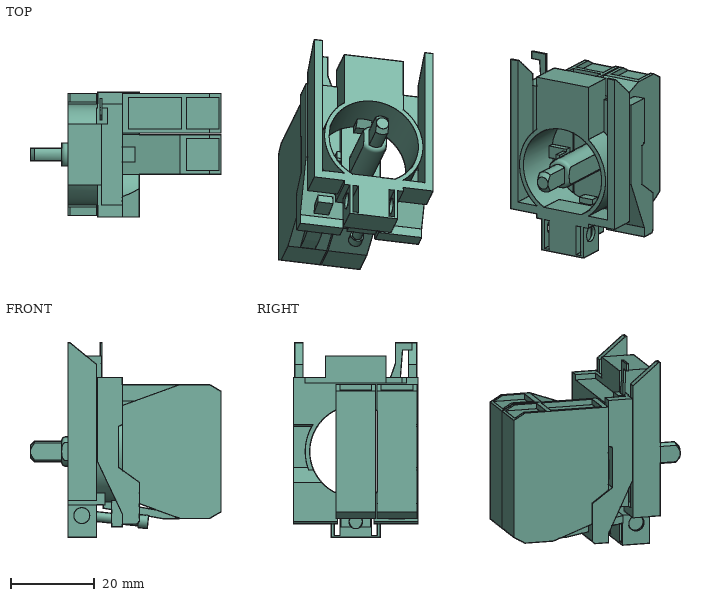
import cadquery as cq
import math


BORE_RADIUS = 10.97
RING_RADIUS = 12.08
PLATE_BACK = 13.0
BLOCK_HALF_WIDTH = 7.25
BLOCK_TOP = 22.85
BLOCK_DEPTH = 8.0

FRAME_DEPTH = 6.85
FRAME_HALF_WIDTH = 14.6
FRAME_WALL = 2.03
FRAME_TOP = 26.0
FRAME_FLOOR = -9.65
FRAME_BOTTOM = -11.7
FRAME_TIP_DEPTH = 0.5
FRAME_SHOULDER = 20.77
TAB_BOTTOM = -12.75
TOOTH_TOP = -9.85
TOOTH_BACK = 8.85

CLAMP_HALF_WIDTH = 5.88
CLAMP_WALL = 0.8
CLAMP_CORE_HALF_WIDTH = 3.8
CLAMP_BOTTOM = -20.5
CLAMP_FLOOR = 0.5
CLAMP_HOLE_RADIUS = 1.9
CLAMP_HOLE_X = 3.3
CLAMP_HOLE_Z = -15.3

PLATE_FRONT = 7.05
PLATE_HALF_WIDTH = 14.925
PLATE_TOP = 17.7
PLATE_TAPER_TOP = -2.4
PLATE_TAPER_BOTTOM = -14.95
PLATE_BOTTOM = -17.3
NOTCH_X = 12.05
NOTCH_TOP = 6.0
NOTCH_LEAD_TOP = 6.45
NOTCH_BOTTOM = -3.77
LOBE_BACK = 17.05
LOBE_TOP = -7.36
LOBE_CHAMFER = 0.6
LEDGE_DEPTH = 1.3
LEDGE_HALF_WIDTH = RING_RADIUS
RELIEF_HALF_WIDTH = 4.35

LATCH_FRONT = 6.85
LATCH_BACK = 9.4
LATCH_OUTER_Y = 11.1
HOOK_X = 7.65
HOOK_THICKNESS = 0.5
HOOK_OUTER_Y = 13.4
HOOK_INNER_Y = 9.45
HOOK_BAR_BOTTOM = 24.2
HOOK_BEND_Z = 21.0
HOOK_STEM_TOP_Y = 11.2
HOOK_FOOT_OUTER_Y = 10.65
HOOK_FOOT_INNER_Y = 8.1
HOOK_FOOT_Z = 17.2

MODULE_WIDTH = 9.52
MODULE_GAP = 0.34
MODULE_BACK = 36.59
MODULE_HALF_HEIGHT = 16.0
MODULE_TAPER_X = 26.75
MODULE_NOSE_Z = 11.0
MODULE_CHAMFER_X = 2.75
MODULE_CHAMFER_Z = 1.6
POCKET_DEPTH = 1.3
POCKET_MARGIN = 0.95
REAR_POCKET_FRONT = 28.3
FRONT_POCKET_START = 14.4
FRONT_POCKET_END = 27.1

SPINDLE_TIP = -9.0
SPINDLE_STEP = -1.55
SHAFT_RADIUS = 2.5
SHAFT_HALF_FLAT = 1.5
SHAFT_CHAMFER = 1.0
HUB_RADIUS = 3.55
HUB_HALF_FLAT = 2.8
HUB_FILLET = HUB_RADIUS - SHAFT_RADIUS

KEY_HALF_WIDTH = 1.83
KEY_FRONT = 9.0
KEY_RAMP_BACK = 10.5
KEY_BACK = 16.6
KEY_OUTER_Z = 12.1
KEY_RAMP_Z = 11.0
KEY_INNER_Z = 9.2
LOWER_KEY_FRONT = 10.6
LOWER_KEY_TOP = -9.55
SIDE_KEY_FRONT = 11.5
SIDE_KEY_INNER_Y = 5.98
SIDE_KEY_HALF_HEIGHT = 1.5
NIB_FRONT = 8.4
NIB_WIDTH = 1.0
NIB_HALF_HEIGHT = 0.9
NIB_RAMP_LENGTH = 0.3

LEVER_TILT = 10.0
LEVER_START_X = 8.4
LEVER_BOTTOM_Z = -13.55
LEVER_LENGTH = 14.3
LEVER_THICKNESS = 1.85
LEVER_INNER_Y = 8.0
LEVER_OUTER_Y = 11.64
LEVER_HEEL_END = 26.5
SCREW_TILT = 6.0
SCREW_START_X = 5.6
SCREW_START_Z = -15.42
SCREW_RADIUS = 1.2
SCREW_SHANK_LENGTH = 11.3
SCREW_HEAD_RADIUS = 1.6
SCREW_HEAD_LENGTH = 2.3
POST_FRONT = 10.45
POST_TOP = -11.7
POST_BOTTOM = -18.0
POST_HALF_WIDTH = 3.5


def box(x0, x1, y0, y1, z0, z1):
    """Box between two opposite corners."""
    return cq.Workplane("XY").box(x1 - x0, y1 - y0, z1 - z0, centered=False).translate((x0, y0, z0))


def side_profile(points, y0, y1):
    """Extrude an XZ outline from y0 to y1."""
    return cq.Workplane("XZ", origin=(0, y1, 0)).polyline(points).close().extrude(y1 - y0)


def rod(radius, x0, x1):
    """Cylinder on the X axis."""
    return cq.Workplane("YZ", origin=(x0, 0, 0)).circle(radius).extrude(x1 - x0)


def with_flats(body, half_flat):
    """Trim a body of the spindle to two flats facing +Y and -Y."""
    return body.intersect(box(SPINDLE_TIP, PLATE_BACK, -half_flat, half_flat, -HUB_RADIUS, HUB_RADIUS))


def make_collar():
    """Ring with its block on top, trimmed below the front frame."""
    ring = rod(RING_RADIUS, 0, PLATE_BACK)
    below_frame = box(0, FRAME_DEPTH, -RING_RADIUS, RING_RADIUS, -RING_RADIUS, FRAME_BOTTOM)
    block = box(0, BLOCK_DEPTH, -BLOCK_HALF_WIDTH, BLOCK_HALF_WIDTH, 0, BLOCK_TOP)
    return ring.cut(below_frame).union(block)


def make_frame():
    """Front frame with a tab and a rear tooth under its floor."""
    wall_outline = [
        (0, FRAME_BOTTOM),
        (FRAME_DEPTH, FRAME_BOTTOM),
        (FRAME_DEPTH, FRAME_SHOULDER),
        (FRAME_TIP_DEPTH, FRAME_TOP),
        (0, FRAME_TOP),
    ]
    inner = FRAME_HALF_WIDTH - FRAME_WALL
    floor = box(0, FRAME_DEPTH, -inner, inner, FRAME_BOTTOM, FRAME_FLOOR)
    tab = box(0, TOOTH_BACK, -BLOCK_HALF_WIDTH, BLOCK_HALF_WIDTH, TAB_BOTTOM, FRAME_BOTTOM)
    tooth = box(FRAME_DEPTH, TOOTH_BACK, -BLOCK_HALF_WIDTH, BLOCK_HALF_WIDTH, TAB_BOTTOM, TOOTH_TOP)
    frame = floor.union(tab).union(tooth)
    for y0 in (-FRAME_HALF_WIDTH, inner):
        frame = frame.union(side_profile(wall_outline, y0, y0 + FRAME_WALL))
    return frame


def make_clamp():
    """Solid core between two thin walls, each wall with a round hole."""
    clamp = box(0, FRAME_DEPTH, -CLAMP_HALF_WIDTH, CLAMP_HALF_WIDTH, CLAMP_BOTTOM, TAB_BOTTOM)
    slot_outer = CLAMP_HALF_WIDTH - CLAMP_WALL
    for y0, y1 in ((-slot_outer, -CLAMP_CORE_HALF_WIDTH), (CLAMP_CORE_HALF_WIDTH, slot_outer)):
        clamp = clamp.cut(box(0, FRAME_DEPTH, y0, y1, CLAMP_BOTTOM + CLAMP_FLOOR, TAB_BOTTOM))
    cross_hole = (
        cq.Workplane("XZ")
        .center(CLAMP_HOLE_X, CLAMP_HOLE_Z)
        .circle(CLAMP_HOLE_RADIUS)
        .extrude(CLAMP_HALF_WIDTH, both=True)
    )
    core = box(0, FRAME_DEPTH, -CLAMP_CORE_HALF_WIDTH, CLAMP_CORE_HALF_WIDTH, CLAMP_BOTTOM, TAB_BOTTOM)
    return clamp.cut(cross_hole).union(core)


def make_back_plate():
    """Plate behind the frame, ending in a thicker lobe at the bottom."""
    outline = [
        (PLATE_FRONT, PLATE_TOP),
        (PLATE_BACK, PLATE_TOP),
        (PLATE_BACK, NOTCH_LEAD_TOP),
        (NOTCH_X, NOTCH_TOP),
        (NOTCH_X, NOTCH_BOTTOM),
        (LOBE_BACK, LOBE_TOP),
        (LOBE_BACK, PLATE_BOTTOM + LOBE_CHAMFER),
        (LOBE_BACK - LOBE_CHAMFER, PLATE_BOTTOM),
        (PLATE_BACK, PLATE_BOTTOM),
        (PLATE_BACK, PLATE_TAPER_BOTTOM),
        (PLATE_FRONT, PLATE_TAPER_TOP),
    ]
    plate = side_profile(outline, -PLATE_HALF_WIDTH, PLATE_HALF_WIDTH)
    ledge = box(
        BLOCK_DEPTH, PLATE_BACK, -LEDGE_HALF_WIDTH, LEDGE_HALF_WIDTH, PLATE_TOP - LEDGE_DEPTH, PLATE_TOP
    )
    screw_relief = box(
        PLATE_BACK, LOBE_BACK, -RELIEF_HALF_WIDTH, RELIEF_HALF_WIDTH, PLATE_BOTTOM, PLATE_TAPER_BOTTOM
    )
    return plate.cut(ledge).cut(screw_relief)


def make_latch():
    """Upright block beside the collar with the hook standing on it."""
    block = box(LATCH_FRONT, LATCH_BACK, BLOCK_HALF_WIDTH, LATCH_OUTER_Y, FRAME_FLOOR, PLATE_TOP)
    hook_outline = [
        (HOOK_OUTER_Y, FRAME_TOP),
        (HOOK_INNER_Y, FRAME_TOP),
        (HOOK_INNER_Y, HOOK_BEND_Z),
        (HOOK_FOOT_INNER_Y, HOOK_FOOT_Z),
        (HOOK_FOOT_OUTER_Y, HOOK_FOOT_Z),
        (HOOK_STEM_TOP_Y, HOOK_BAR_BOTTOM),
        (HOOK_OUTER_Y, HOOK_BAR_BOTTOM),
    ]
    hook = cq.Workplane("YZ", origin=(HOOK_X, 0, 0)).polyline(hook_outline).close().extrude(HOOK_THICKNESS)
    return block.union(hook)


def module_pocket(x0, x1, y0):
    """Cutter for a shallow pocket in the top of the module that starts at y0."""
    y1 = y0 + MODULE_WIDTH
    floor = MODULE_HALF_HEIGHT - POCKET_DEPTH
    return box(x0, x1, y0 + POCKET_MARGIN, y1 - POCKET_MARGIN, floor, MODULE_HALF_HEIGHT)


def make_module(y0, tapered_top):
    """Contact module; the top slopes down to the front or runs level."""
    chamfer_x = MODULE_BACK - MODULE_CHAMFER_X
    chamfer_z = MODULE_HALF_HEIGHT - MODULE_CHAMFER_Z
    if tapered_top:
        top = [(PLATE_BACK, MODULE_NOSE_Z), (MODULE_TAPER_X, MODULE_HALF_HEIGHT)]
    else:
        top = [(PLATE_BACK, MODULE_HALF_HEIGHT)]
    outline = top + [
        (chamfer_x, MODULE_HALF_HEIGHT),
        (MODULE_BACK, chamfer_z),
        (MODULE_BACK, -chamfer_z),
        (chamfer_x, -MODULE_HALF_HEIGHT),
        (MODULE_TAPER_X, -MODULE_HALF_HEIGHT),
        (PLATE_BACK, -MODULE_NOSE_Z),
    ]
    module = side_profile(outline, y0, y0 + MODULE_WIDTH)
    module = module.cut(module_pocket(REAR_POCKET_FRONT, MODULE_BACK, y0))
    if not tapered_top:
        module = module.cut(module_pocket(FRONT_POCKET_START, FRONT_POCKET_END, y0))
    return module


def make_spindle():
    """Chamfered shaft on a thicker, rounded hub."""
    shaft = rod(SHAFT_RADIUS, SPINDLE_TIP, SPINDLE_STEP).faces("<X").chamfer(SHAFT_CHAMFER)
    hub = rod(HUB_RADIUS, SPINDLE_STEP, PLATE_BACK).faces("<X").edges().fillet(HUB_FILLET)
    return with_flats(shaft, SHAFT_HALF_FLAT).union(with_flats(hub, HUB_HALF_FLAT))


def make_keys():
    """Keys reaching into the bore from above, from below and from the +Y side."""
    upper_outline = [
        (KEY_FRONT, KEY_OUTER_Z),
        (KEY_BACK, KEY_OUTER_Z),
        (KEY_BACK, KEY_INNER_Z),
        (KEY_RAMP_BACK, KEY_INNER_Z),
        (KEY_FRONT, KEY_RAMP_Z),
    ]
    upper = side_profile(upper_outline, -KEY_HALF_WIDTH, KEY_HALF_WIDTH)
    lower = box(
        LOWER_KEY_FRONT, PLATE_BACK, -KEY_HALF_WIDTH, KEY_HALF_WIDTH, -RING_RADIUS, LOWER_KEY_TOP
    )
    ring_middle = (BORE_RADIUS + RING_RADIUS) / 2
    side = box(
        SIDE_KEY_FRONT, PLATE_BACK, SIDE_KEY_INNER_Y, ring_middle, -SIDE_KEY_HALF_HEIGHT, SIDE_KEY_HALF_HEIGHT
    )
    nib_outline = [
        (NIB_FRONT, NIB_HALF_HEIGHT),
        (SIDE_KEY_FRONT, NIB_HALF_HEIGHT),
        (SIDE_KEY_FRONT, -SIDE_KEY_HALF_HEIGHT),
        (NIB_FRONT + NIB_RAMP_LENGTH, -SIDE_KEY_HALF_HEIGHT),
        (NIB_FRONT, -NIB_HALF_HEIGHT),
    ]
    nib = side_profile(nib_outline, SIDE_KEY_INNER_Y, SIDE_KEY_INNER_Y + NIB_WIDTH)
    return upper.union(lower).union(side).union(nib)


def make_lever():
    """Lever of the +Y module, sloping down to a level heel under the module."""
    drop = math.tan(math.radians(LEVER_TILT))
    end_x = LEVER_START_X + LEVER_LENGTH
    end_z = LEVER_BOTTOM_Z - LEVER_LENGTH * drop
    outline = [
        (LEVER_START_X, LEVER_BOTTOM_Z),
        (end_x, end_z),
        (LEVER_HEEL_END, end_z),
        (end_x, end_z + LEVER_THICKNESS),
        (LEVER_START_X, LEVER_BOTTOM_Z + LEVER_THICKNESS),
    ]
    return side_profile(outline, LEVER_INNER_Y, LEVER_OUTER_Y)


def make_screw():
    """Tilted screw with its cylindrical head, and the post that carries it."""
    head_end = SCREW_SHANK_LENGTH + SCREW_HEAD_LENGTH
    screw = rod(SCREW_RADIUS, 0, SCREW_SHANK_LENGTH).union(
        rod(SCREW_HEAD_RADIUS, SCREW_SHANK_LENGTH, head_end)
    )
    screw = screw.rotate((0, 0, 0), (0, 1, 0), SCREW_TILT)
    screw = screw.translate((SCREW_START_X, 0, SCREW_START_Z))
    post = box(POST_FRONT, PLATE_BACK, -POST_HALF_WIDTH, POST_HALF_WIDTH, POST_BOTTOM, POST_TOP)
    return screw.union(post)


def make_bore():
    """Bore cutter, flat at the frame floor within the frame depth."""
    bore = rod(BORE_RADIUS, 0, LOBE_BACK)
    floor = box(0, FRAME_DEPTH, -BORE_RADIUS, BORE_RADIUS, -BORE_RADIUS, FRAME_FLOOR)
    return bore.cut(floor)


lower_module_y = -MODULE_WIDTH / 2
upper_module_y = MODULE_WIDTH / 2 + MODULE_GAP

housing = make_collar().union(make_frame()).union(make_back_plate()).union(make_latch())
housing = housing.cut(make_bore())

result = housing.union(make_clamp())
result = result.union(make_module(lower_module_y, tapered_top=True))
result = result.union(make_module(upper_module_y, tapered_top=False))
result = result.union(make_spindle())
result = result.union(make_keys())
result = result.union(make_lever())
result = result.union(make_screw())